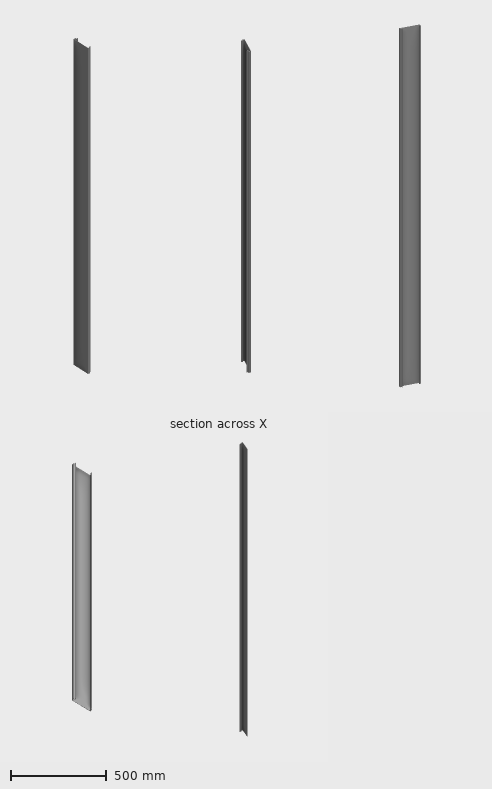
import cadquery as cq

width = 120.0
depth = 22.0
length = 2000.0

thickness = 2.0
lip_offset = 7.0
lip_height = 8.0

half_width = width / 2
flange_inner_x = half_width - thickness
lip_outer_x = half_width - lip_offset
lip_inner_x = lip_outer_x - thickness

web_outer_y = -depth / 2
web_inner_y = web_outer_y + thickness
lip_tip_y = depth / 2
ledge_outer_y = lip_tip_y - lip_height
ledge_inner_y = ledge_outer_y - thickness

half_section = [
    (0, web_outer_y),
    (half_width, web_outer_y),
    (half_width, ledge_outer_y),
    (lip_outer_x, ledge_outer_y),
    (lip_outer_x, lip_tip_y),
    (lip_inner_x, lip_tip_y),
    (lip_inner_x, ledge_inner_y),
    (flange_inner_x, ledge_inner_y),
    (flange_inner_x, web_inner_y),
    (0, web_inner_y),
]

half_channel = cq.Workplane("XY").polyline(half_section).close().extrude(length)
result = half_channel.union(half_channel.mirror("YZ")).clean()